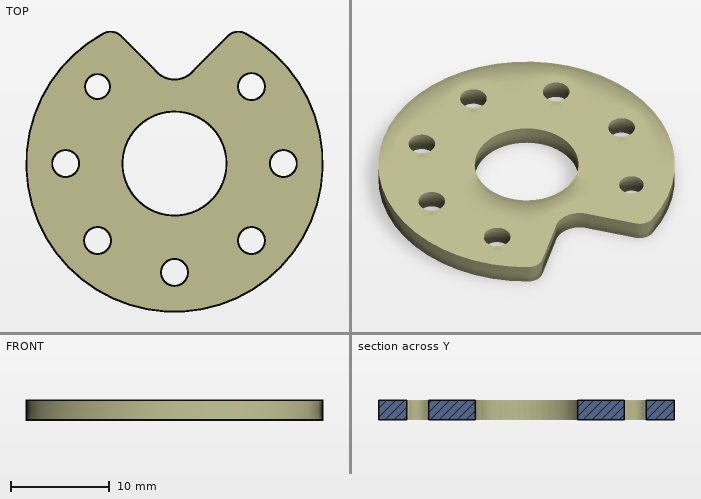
import cadquery as cq
import math

disc_radius = 15.0
thickness = 2.0
bore_diameter = 10.5

hole_circle_radius = 11.0
hole_diameter = 2.7
small_hole_diameter = 2.5
hole_step = 45
notch_angle = 90
small_hole_angle = notch_angle + hole_step

notch_apex_y = 7.5
notch_root_diameter = 5.0
notch_root_radius = notch_root_diameter / 2
notch_root_y = hole_circle_radius - notch_root_radius
notch_corner_radius = 1.5


def make_disc():
    return cq.Workplane("XY").circle(disc_radius).extrude(thickness)


def make_notch():
    """V-shaped cutter with 45-degree walls that end where they meet the root arc."""
    center_height = hole_circle_radius - notch_apex_y
    wall_x = (center_height + math.sqrt(2 * notch_root_radius**2 - center_height**2)) / 2
    wall_y = notch_apex_y + wall_x
    top_y = 2 * disc_radius
    top_x = top_y - notch_apex_y
    return (
        cq.Workplane("XY")
        .moveTo(-top_x, top_y)
        .lineTo(-wall_x, wall_y)
        .threePointArc((0, notch_root_y), (wall_x, wall_y))
        .lineTo(top_x, top_y)
        .close()
        .extrude(thickness)
    )


def round_notch_corners(body):
    """Round the two vertical edges where the notch walls meet the rim."""
    rim_edges = cq.selectors.BoxSelector(
        (-disc_radius, hole_circle_radius, 0),
        (disc_radius, disc_radius, thickness),
    )
    return body.edges("|Z").edges(rim_edges).fillet(notch_corner_radius)


def make_hole(diameter, center_x=0.0, center_y=0.0):
    return (
        cq.Workplane("XY")
        .center(center_x, center_y)
        .circle(diameter / 2)
        .extrude(thickness)
    )


result = round_notch_corners(make_disc().cut(make_notch()))
result = result.cut(make_hole(bore_diameter))

for angle in range(0, 360, hole_step):
    if angle == notch_angle:
        continue
    diameter = small_hole_diameter if angle == small_hole_angle else hole_diameter
    hole_x = hole_circle_radius * math.cos(math.radians(angle))
    hole_y = hole_circle_radius * math.sin(math.radians(angle))
    result = result.cut(make_hole(diameter, hole_x, hole_y))